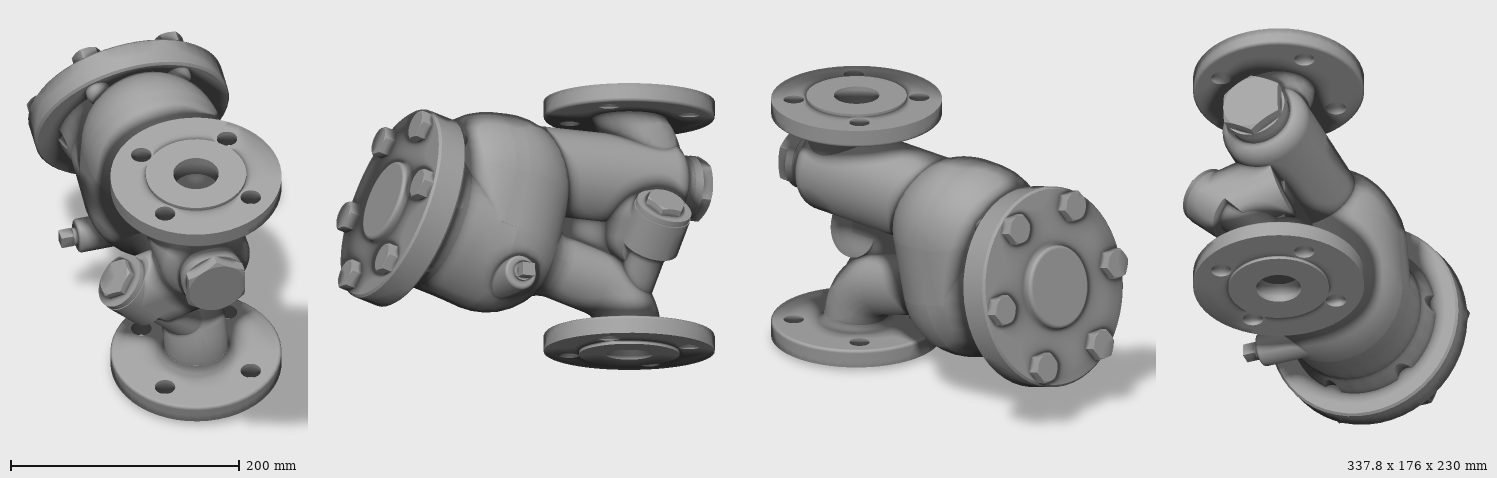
import cadquery as cq
import math


OVERALL_LENGTH = 337.8

FACE_TO_FACE = 230.0
FLANGE_DIA = 150.0
FLANGE_THICK = 16.0
FLANGE_EDGE = 2.7
RAISED_DIA = 88.0
RAISED_THICK = 3.0
BORE_DIA = 40.0
BOLT_HOLE_DIA = 18.0
BOLT_HOLE_CIRCLE = 110.0
FACE_HEIGHT = FACE_TO_FACE / 2
FLANGE_BACK = FACE_HEIGHT - RAISED_THICK - FLANGE_THICK
FLANGE_JOINT = FLANGE_BACK + FLANGE_THICK / 2

TILT = 15
COVER_Z = -1.7
COVER_DIA = 176.0
COVER_THICK = 13.5
COVER_EDGE = 2.0
BODY_FLANGE_END = 27.0
NECK_DIA = 123.0
NECK_ROOT_RADIUS = 67.5
NECK_CONE_END = 47.5
CHAMBER_RADIUS = 62.5
CHAMBER_CENTRE = 98.0
OUTLET_DIA = 56.0
OUTLET_BLEND = 30.5
OUTLET_BEND = 42.2
OUTLET_RISE = 2.0
FLARE_RADIUS = 6.8

CAP_DIA = 73.0
CAP_HEIGHT = 7.0
CAP_EDGE = 3.0
BOLT_CIRCLE = 146.0
BOLT_COUNT = 6
BOLT_FLATS = 24.0
BOLT_HEAD = 9.8
BOLT_BOSS_RADIUS = 10.8
BOLT_BOSS_REACH = 3.7
NUT_POCKET_RADIUS = 10.0
NUT_POCKET_REACH = 13.0

DOME_X = -133.7
DOME_Z = 25.0
DOME_SPACING = 13.5

PIPE_DIA = 80.0
PIPE_Z = 40.2
PIPE_END = 44.2
PIPE_END_FILLET = 14.5
SPIGOT_DIA = 54.7
SPIGOT_END = 51.5
COLLAR_DIA = 56.0
COLLAR_END = 59.0
PIPE_PLUG_FLATS = 50.5
PIPE_PLUG_HEIGHT = 10.5

BRANCH_SECTIONS = [(0, FLANGE_BACK, 32.8), (12.0, 74.3, 33.0), (20.3, 47.3, 28.7)]

PLUG_ANGLE = 45
PLUG_Y = -69.5
PLUG_Z = 4.5
PLUG_FLATS = 31.7
PLUG_HEAD = 7.0
PLUG_COLLAR_DIA = 50.0
PLUG_COLLAR = 5.5
HOUSING_DIA = 51.7
HOUSING_DEPTH = 40.5
PASSAGE_DIA = 33.8
PASSAGE_DEPTH = 94.5
DUCT_FALL = 15
DUCT_START_Z = 7.5
DUCT_WALL = 17.5

WEB_THICK = 10.8
WEB_LEFT = -87.8
WEB_RIGHT = 0.0
WEB_BOTTOM = -47.3

DRAIN_X = -139.8
DRAIN_Z = -68.5
DRAIN_BOSS_DIA = 30.0
DRAIN_BOSS_END = 70.3
DRAIN_BOSS_START = 17.0
DRAIN_BOSS_EDGE = 2.7
DRAIN_WASHER_DIA = 16.0
DRAIN_WASHER_END = 73.5
DRAIN_SQUARE = 11.5
DRAIN_END = 84.8

SIN_TILT = math.sin(math.radians(TILT))
COS_TILT = math.cos(math.radians(TILT))

LOWEST_HEAD_EDGE = BOLT_CIRCLE / 2 * math.sin(math.pi / 3) + BOLT_FLATS / 2
HEAD_OVERHANG = BOLT_HEAD * COS_TILT + LOWEST_HEAD_EDGE * SIN_TILT
COVER_X = FLANGE_DIA / 2 - OVERALL_LENGTH + HEAD_OVERHANG


def tilted(shape):
    """Move a shape built along +X from the origin onto the chamber axis."""
    return shape.rotate((0, 0, 0), (0, 1, 0), TILT).translate((COVER_X, 0, COVER_Z))


def axis_point(distance):
    """World x and z of the point on the chamber axis at a distance behind the cover face."""
    return COVER_X + distance * COS_TILT, COVER_Z - distance * SIN_TILT


def rod(start, end, radius):
    """Solid cylinder between two points."""
    direction = cq.Vector(*end) - cq.Vector(*start)
    return cq.Workplane(cq.Solid.makeCylinder(radius, direction.Length, cq.Vector(*start), direction))


def ball(centre, radius):
    """Solid sphere about a point."""
    return cq.Workplane("XY").sphere(radius).translate(centre)


def bolt_places():
    """Local y and z of the cover bolts."""
    angles = [2 * math.pi * index / BOLT_COUNT for index in range(BOLT_COUNT)]
    return [(BOLT_CIRCLE / 2 * math.cos(angle), BOLT_CIRCLE / 2 * math.sin(angle)) for angle in angles]


def is_upper(z):
    """True for the bolts at the dome, which have bosses instead of pockets behind them."""
    return z > BOLT_CIRCLE / 4


def bolt_finger(y, z, radius, reach):
    """Round-ended cylinder behind the chamber flange on a bolt axis."""
    end = (BODY_FLANGE_END + reach, y, z)
    return rod((BODY_FLANGE_END, y, z), end, radius).union(ball(end, radius))


def hex_head(plane, flats, height):
    """Hexagon head with corners on the plane's x axis and a turned chamfer on its outer face."""
    corners = flats / math.cos(math.pi / 6)
    bevel = (corners - flats) / 2
    hexagon = cq.Workplane(plane).polygon(6, corners).extrude(height)
    outer_face = cq.selectors.DirectionMinMaxSelector(plane.zDir, True)
    turned = cq.Workplane(plane).circle(corners / 2).extrude(height)
    return hexagon.intersect(turned.faces(outer_face).chamfer(bevel / 2, bevel))


def pipe_flange():
    """Upper flange with raised face and through bolt holes."""
    disc = cq.Workplane("XY", origin=(0, 0, FLANGE_BACK)).circle(FLANGE_DIA / 2).extrude(FLANGE_THICK)
    disc = disc.faces("<Z").edges().fillet(FLANGE_EDGE)
    disc = disc.faces(">Z").workplane().circle(RAISED_DIA / 2).extrude(RAISED_THICK)
    spacing = BOLT_HOLE_CIRCLE / math.sqrt(2)
    holes = (
        cq.Workplane("XY", origin=(0, 0, FLANGE_BACK))
        .rect(spacing, spacing, forConstruction=True)
        .vertices()
        .circle(BOLT_HOLE_DIA / 2)
        .extrude(FLANGE_THICK)
    )
    return disc.cut(holes)


def chamber():
    """Neck and round-ended lower chamber, with clearance pockets behind the lower and side bolts."""
    middle = math.sqrt(0.5) * CHAMBER_RADIUS
    turned = (
        cq.Workplane("XZ")
        .moveTo(BODY_FLANGE_END, 0)
        .lineTo(BODY_FLANGE_END, NECK_ROOT_RADIUS)
        .lineTo(NECK_CONE_END, NECK_DIA / 2)
        .lineTo(CHAMBER_CENTRE, CHAMBER_RADIUS)
        .threePointArc((CHAMBER_CENTRE + middle, middle), (CHAMBER_CENTRE + CHAMBER_RADIUS, 0))
        .close()
        .revolve(360, (0, 0), (1, 0))
    )
    for y, z in bolt_places():
        if not is_upper(z):
            turned = turned.cut(bolt_finger(y, z, NUT_POCKET_RADIUS, NUT_POCKET_REACH))
    return tilted(turned)


def outlet():
    """Outlet pipe blended out of the chamber end, with its elbow and flared foot."""
    pipe_radius = OUTLET_DIA / 2
    blend_height = pipe_radius + OUTLET_BLEND
    centre_gap = CHAMBER_RADIUS + OUTLET_BLEND
    blend_x = CHAMBER_CENTRE + math.sqrt(centre_gap**2 - blend_height**2)
    blend_angle = math.asin(blend_height / centre_gap)
    middle_angle = (blend_angle + math.pi / 2) / 2

    def on_ball(angle):
        return CHAMBER_CENTRE + CHAMBER_RADIUS * math.cos(angle), CHAMBER_RADIUS * math.sin(angle)

    def on_blend(angle):
        return blend_x - OUTLET_BLEND * math.cos(angle), blend_height - OUTLET_BLEND * math.sin(angle)

    bend_start_x = OUTLET_BEND * (SIN_TILT - 1)
    pipe_end = (bend_start_x - COVER_X - OUTLET_RISE * SIN_TILT) / COS_TILT
    turned = (
        cq.Workplane("XZ")
        .moveTo(CHAMBER_CENTRE, 0)
        .lineTo(CHAMBER_CENTRE, CHAMBER_RADIUS)
        .threePointArc(on_ball(middle_angle), on_ball(blend_angle))
        .threePointArc(on_blend(middle_angle), (blend_x, pipe_radius))
        .lineTo(pipe_end, pipe_radius)
        .lineTo(pipe_end, 0)
        .close()
        .revolve(360, (0, 0), (1, 0))
    )
    bend_z = axis_point(pipe_end)[1] + (OUTLET_RISE - OUTLET_BEND) * COS_TILT
    elbow = (
        cq.Workplane("XY", origin=(0, 0, bend_z))
        .circle(pipe_radius)
        .revolve(90 - TILT, (-OUTLET_BEND, 0), (-OUTLET_BEND, -1))
    )
    flare_rim = pipe_radius + FLARE_RADIUS
    flare_top = FLANGE_BACK - FLARE_RADIUS
    diagonal = FLARE_RADIUS * math.sqrt(0.5)
    flare = (
        cq.Workplane("XZ")
        .moveTo(0, -FLANGE_JOINT)
        .lineTo(flare_rim, -FLANGE_JOINT)
        .lineTo(flare_rim, -FLANGE_BACK)
        .threePointArc((flare_rim - diagonal, -flare_top - diagonal), (pipe_radius, -flare_top))
        .lineTo(0, -flare_top)
        .close()
        .revolve(360, (0, 0), (0, 1))
    )
    return tilted(turned.translate((0, 0, OUTLET_RISE))).union(elbow).union(flare)


def dome():
    """Level capsule over the chamber, joined down to the chamber axis."""
    left_top = (DOME_X - DOME_SPACING / 2, 0, DOME_Z)
    right_top = (DOME_X + DOME_SPACING / 2, 0, DOME_Z)
    foot_x, foot_z = axis_point(CHAMBER_CENTRE)
    right_foot = (foot_x, 0, foot_z)
    left_x, left_z = axis_point(CHAMBER_CENTRE - DOME_SPACING)
    left_foot = (left_x, 0, left_z)
    core = (
        cq.Workplane("XZ", origin=(0, CHAMBER_RADIUS, 0))
        .polyline([(point[0], point[2]) for point in (left_top, right_top, right_foot, left_foot)])
        .close()
        .extrude(2 * CHAMBER_RADIUS)
    )
    shape = core.union(rod(left_top, right_top, CHAMBER_RADIUS))
    for top, foot in ((left_top, left_foot), (right_top, right_foot)):
        shape = shape.union(rod(foot, top, CHAMBER_RADIUS))
        shape = shape.union(ball(top, CHAMBER_RADIUS))
    return shape


def cover():
    """Cover, chamber flange, centre cap, bolt heads and the two upper bolt bosses."""
    plate = cq.Workplane("YZ").circle(COVER_DIA / 2).extrude(COVER_THICK)
    plate = plate.faces("<X").edges().chamfer(COVER_EDGE)
    body_flange = cq.Workplane("YZ", origin=(COVER_THICK, 0, 0)).circle(COVER_DIA / 2)
    body_flange = body_flange.extrude(BODY_FLANGE_END - COVER_THICK).faces(">X").edges().chamfer(COVER_EDGE)
    cap = cq.Workplane("YZ").circle(CAP_DIA / 2).extrude(-CAP_HEIGHT)
    shape = plate.union(body_flange).union(cap)
    cover_face = cq.selectors.NearestToPointSelector((0, COVER_DIA / 3, 0))
    cap_root = cq.selectors.RadiusNthSelector(0)
    shape = shape.faces(cover_face).edges(cap_root).fillet(CAP_EDGE)
    shape = shape.faces("<X").edges().fillet(CAP_EDGE)
    for y, z in bolt_places():
        head_plane = cq.Plane(origin=(0, y, z), xDir=(0, 1, 0), normal=(-1, 0, 0))
        shape = shape.union(hex_head(head_plane, BOLT_FLATS, BOLT_HEAD))
        if is_upper(z):
            shape = shape.union(bolt_finger(y, z, BOLT_BOSS_RADIUS, BOLT_BOSS_REACH))
    return tilted(shape)


def inlet_pipe():
    """Horizontal pipe with rounded end, spigot, collar, hexagon plug and the branch to the upper flange."""
    start = cq.Workplane("YZ", origin=(DOME_X, 0, PIPE_Z))
    pipe = start.circle(PIPE_DIA / 2).extrude(PIPE_END - DOME_X).faces(">X").edges().fillet(PIPE_END_FILLET)
    spigot = start.circle(SPIGOT_DIA / 2).extrude(SPIGOT_END - DOME_X)
    collar = cq.Workplane("YZ", origin=(SPIGOT_END, 0, PIPE_Z)).circle(COLLAR_DIA / 2)
    collar = collar.extrude(COLLAR_END - SPIGOT_END)
    plug_plane = cq.Plane(origin=(COLLAR_END, 0, PIPE_Z), xDir=(0, 0, 1), normal=(1, 0, 0))
    plug = hex_head(plug_plane, PIPE_PLUG_FLATS, PIPE_PLUG_HEIGHT)
    wires = [
        cq.Wire.makeCircle(radius, cq.Vector(x, 0, z), cq.Vector(0, 0, 1)) for x, z, radius in BRANCH_SECTIONS
    ]
    branch = cq.Workplane(cq.Solid.makeLoft(wires))
    return pipe.union(spigot).union(collar).union(plug).union(branch)


def valve_housing():
    """Inclined plug, its round housing, the round-ended duct from the pipe and the passage to the outlet."""
    rise = math.sin(math.radians(PLUG_ANGLE))
    reach = math.cos(math.radians(PLUG_ANGLE))

    def plug_plane(depth):
        origin = (0, PLUG_Y + depth * reach, PLUG_Z - depth * rise)
        return cq.Plane(origin=origin, xDir=(1, 0, 0), normal=(0, -reach, rise))

    head = hex_head(plug_plane(0), PLUG_FLATS, PLUG_HEAD)
    collar = cq.Workplane(plug_plane(0)).circle(PLUG_COLLAR_DIA / 2).extrude(-PLUG_COLLAR)
    seat = cq.Workplane(plug_plane(PLUG_COLLAR))
    housing = seat.circle(HOUSING_DIA / 2).extrude(PLUG_COLLAR - HOUSING_DEPTH)
    passage = seat.circle(PASSAGE_DIA / 2).extrude(-PASSAGE_DEPTH)

    fall = math.radians(DUCT_FALL)
    duct_axis = (0, -math.cos(fall), -math.sin(fall))
    duct_plane = cq.Plane(origin=(0, 0, DUCT_START_Z), xDir=(1, 0, 0), normal=duct_axis)
    half = HOUSING_DIA / 2
    duct = (
        cq.Workplane(duct_plane)
        .moveTo(-half, -DUCT_WALL)
        .lineTo(-half, 0)
        .threePointArc((0, half), (half, 0))
        .lineTo(half, -DUCT_WALL)
        .threePointArc((0, -DUCT_WALL - half), (-half, -DUCT_WALL))
        .close()
        .extrude(-PLUG_Y)
    )
    trim_size = 4 * HOUSING_DIA
    trim = seat.rect(trim_size, trim_size, centered=(True, False)).extrude(-trim_size)
    duct = duct.intersect(trim)
    return housing.union(duct).union(collar).union(head).union(passage)


def web():
    """Flat web joining the inlet pipe to the chamber and outlet pipe."""
    centre = ((WEB_LEFT + WEB_RIGHT) / 2, 0, (PIPE_Z + WEB_BOTTOM) / 2)
    plate = cq.Workplane("XY").box(WEB_RIGHT - WEB_LEFT, WEB_THICK, PIPE_Z - WEB_BOTTOM)
    return plate.translate(centre)


def drain():
    """Drain boss on the -Y side with washer and square plug."""

    def at(y):
        return cq.Workplane("XZ", origin=(DRAIN_X, -y, DRAIN_Z))

    boss = at(DRAIN_BOSS_START).circle(DRAIN_BOSS_DIA / 2).extrude(DRAIN_BOSS_END - DRAIN_BOSS_START)
    boss = boss.faces("<Y").edges().fillet(DRAIN_BOSS_EDGE)
    washer = at(DRAIN_BOSS_END).circle(DRAIN_WASHER_DIA / 2).extrude(DRAIN_WASHER_END - DRAIN_BOSS_END)
    square = at(DRAIN_WASHER_END).rect(DRAIN_SQUARE, DRAIN_SQUARE).extrude(DRAIN_END - DRAIN_WASHER_END)
    return boss.union(washer).union(square)


upper_flange = pipe_flange()
lower_flange = upper_flange.mirror("XY")
result = chamber()
for body_part in (dome(), outlet(), cover(), inlet_pipe(), web(), valve_housing(), drain()):
    result = result.union(body_part)
result = result.union(upper_flange).union(lower_flange)

for side in (1, -1):
    bore = cq.Workplane("XY", origin=(0, 0, side * FLANGE_BACK)).circle(BORE_DIA / 2)
    result = result.cut(bore.extrude(side * (FACE_HEIGHT - FLANGE_BACK)))